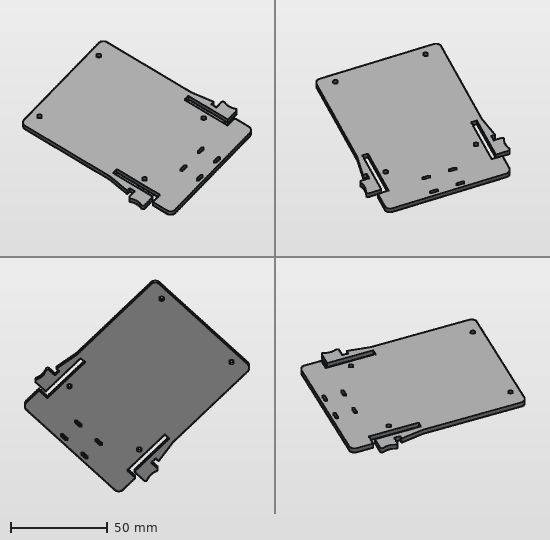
import cadquery as cq
import math

length = 98.6
width = 70.0
thickness = 3.0
corner_radius = 3.0

overall_width = 80.6
latch_root_x = 9.0
barb_x = 21.9
barb_height = 2.1
tab_left_x = 25.1
tab_right_x = 34.9
tab_corner_radius = 1.0
grip_radius = 8.8
arm_thickness = 2.9
slot_width = 3.2
slot_right_x = 37.0

hole_diameter = 2.5
hole_xs = (-44.3, 24.3)
hole_y = 25.3

strap_slot_length = 4.4
strap_slot_width = 1.5
strap_slot_xs = (36.0, 46.5)
strap_slot_y = 7.4

edge_y = width / 2
tab_top_y = overall_width / 2
slot_top_y = edge_y - arm_thickness
slot_bottom_y = slot_top_y - slot_width


def make_plate():
    plate = cq.Workplane("XY").rect(length, width).extrude(thickness)
    return plate.edges("|Z").fillet(corner_radius)


def make_slot_cut():
    """Clearance that frees the latch arm and opens through the plate edge."""
    arm_gap = (
        cq.Workplane("XY")
        .moveTo(latch_root_x, slot_bottom_y)
        .lineTo(slot_right_x, slot_bottom_y)
        .lineTo(slot_right_x, edge_y)
        .lineTo(tab_right_x, edge_y)
        .lineTo(tab_right_x, slot_top_y)
        .lineTo(latch_root_x, slot_top_y)
        .close()
    )
    return arm_gap.extrude(thickness)


def make_barb():
    barb = cq.Workplane("XY").polyline(
        [
            (latch_root_x, edge_y),
            (latch_root_x, slot_top_y),
            (barb_x, slot_top_y),
            (barb_x, edge_y + barb_height),
        ]
    )
    return barb.close().extrude(thickness)


def make_tab():
    """Finger tab whose rounded corners run tangentially into a concave grip."""
    r = tab_corner_radius
    corner_y = tab_top_y - r
    grip_x = (tab_left_x + tab_right_x) / 2
    corner_offset = (tab_right_x - tab_left_x) / 2 - r

    join_angle = math.asin(corner_offset / (r + grip_radius))
    join_offset = grip_radius * math.sin(join_angle)
    join_y = corner_y + r * math.cos(join_angle)
    grip_y = corner_y + (r + grip_radius) * math.cos(join_angle) - grip_radius

    tab = (
        cq.Workplane("XY")
        .moveTo(tab_left_x, slot_top_y)
        .lineTo(tab_left_x, corner_y)
        .threePointArc((grip_x - corner_offset, tab_top_y), (grip_x - join_offset, join_y))
        .threePointArc((grip_x, grip_y), (grip_x + join_offset, join_y))
        .threePointArc((grip_x + corner_offset, tab_top_y), (tab_right_x, corner_y))
        .lineTo(tab_right_x, slot_top_y)
        .close()
    )
    return tab.extrude(thickness)


def make_holes():
    points = [(x, y) for x in hole_xs for y in (-hole_y, hole_y)]
    return cq.Workplane("XY").pushPoints(points).circle(hole_diameter / 2).extrude(thickness)


def make_strap_slots():
    points = [(x, y) for x in strap_slot_xs for y in (-strap_slot_y, strap_slot_y)]
    slots = cq.Workplane("XY").pushPoints(points).slot2D(strap_slot_length, strap_slot_width, 90)
    return slots.extrude(thickness)


slot_cut = make_slot_cut()
latch = make_barb().union(make_tab())

result = make_plate()
result = result.cut(slot_cut).cut(slot_cut.mirror("XZ"))
result = result.union(latch).union(latch.mirror("XZ"))
result = result.cut(make_holes()).cut(make_strap_slots())